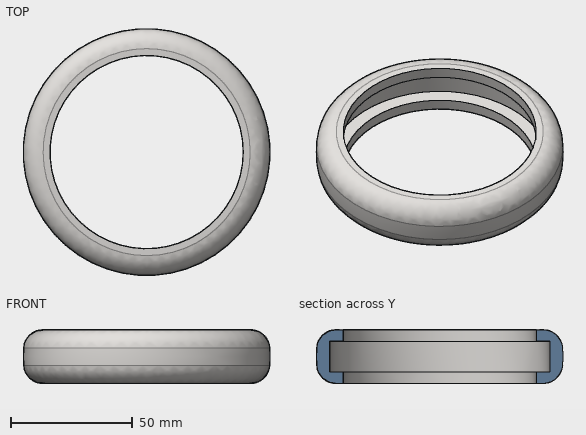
import cadquery as cq

outer_diameter = 101.6
height = 22.3
bore_diameter = 79.3
groove_diameter = 90.5
lip_thickness = 4.9
edge_fillet = 8.1


def cylinder(diameter, length):
    """Solid cylinder on the Z axis, centred on the XY plane."""
    return cq.Workplane("XY").cylinder(length, diameter / 2)


sphere = cq.Workplane("XY").sphere(outer_diameter / 2)
body = sphere.intersect(cylinder(outer_diameter, height))
body = body.faces("|Z").edges().fillet(edge_fillet)

groove_height = height - 2 * lip_thickness
bore = cylinder(bore_diameter, height)
groove = cylinder(groove_diameter, groove_height)

result = body.cut(bore).cut(groove)